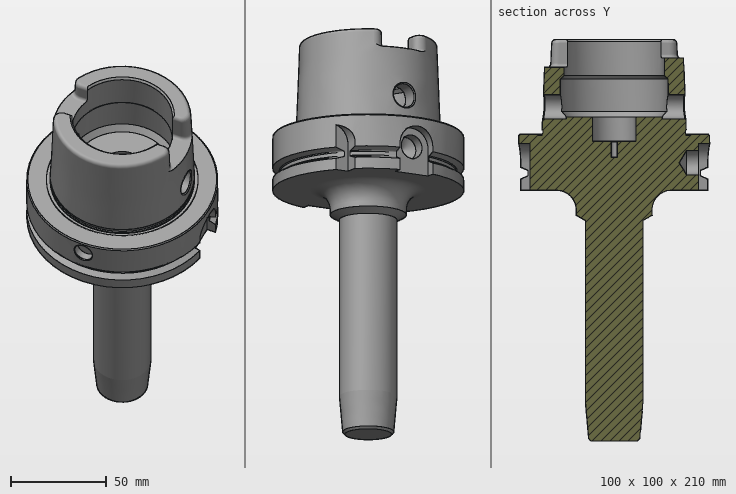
import cadquery as cq
import math

total_height = 210.0

flange_radius = 50.0
flange_top = 160.4
flange_bottom = 131.0
flange_edge = 0.6

groove_floor_radius = 46.2
groove_center = 140.0
groove_mouth = 6.0
groove_floor_width = 2.7
groove_floor_fillet = 0.6

taper_base_radius = 37.8
taper_top_radius = 35.9
rim_fillet = 2.0

relief_depth = 0.5
relief_height = 2.5
relief_slope = 0.6
face_groove_radius = 39.7
face_groove_depth = 0.6

neck_radius = 20.0
neck_fillet = 10.0
neck_bottom = 118.0
shank_radius = 15.1
shank_top = 115.2
nose_height = 20.2
nose_radius = 13.5
nose_chamfer = 1.3

mouth_radius = 26.2
mouth_depth = 18.9
mouth_chamfer = 1.0
undercut_radius = 28.1
bore_floor = 169.4
bore_floor_radius = 25.2
socket_radius = 11.3
socket_depth = 12.5
coolant_radius = 1.5
coolant_chamfer = 0.6
coolant_depth = 8.5

slot_width = 19.5
near_slot_depth = 9.7
far_slot_depth = 14.5
slot_floor_fillet = 1.7
horn_fillet = 4.2

cross_hole_radius = 6.3
cross_hole_chamfer = 0.6
cross_hole_z = 174.6

notch_width = 20.0
notch_arch_z = 145.5
notch_floor_x = 44.0
corner_notch_floor_x = 31.7
corner_notch_y = 41.4

drill_radius = 6.3
drill_depth = 6.3
drill_tip_angle = 118.0

pocket_radius = 5.0
pocket_z = 153.2
pocket_depth = 4.6
pocket_chamfer = 0.52
center_mark_radius = 0.25
center_mark_depth = 0.5


def make_body():
    """Solid of revolution with all outer steps."""
    half_mouth = groove_mouth / 2
    half_floor = groove_floor_width / 2
    relief_bottom = flange_top
    relief_top = flange_top + relief_height
    relief_radius = taper_base_radius - relief_depth
    arc_shift = neck_fillet * (1 - math.sqrt(0.5))
    profile = (
        cq.Workplane("XZ")
        .moveTo(0, 0)
        .lineTo(nose_radius - nose_chamfer, 0)
        .lineTo(nose_radius, nose_chamfer)
        .lineTo(shank_radius, nose_height)
        .lineTo(shank_radius, shank_top)
        .lineTo(neck_radius, neck_bottom)
        .lineTo(neck_radius, flange_bottom - neck_fillet)
        .threePointArc(
            (neck_radius + arc_shift, flange_bottom - arc_shift),
            (neck_radius + neck_fillet, flange_bottom),
        )
        .lineTo(flange_radius, flange_bottom)
        .lineTo(flange_radius, groove_center - half_mouth)
        .lineTo(groove_floor_radius, groove_center - half_floor)
        .lineTo(groove_floor_radius, groove_center + half_floor)
        .lineTo(flange_radius, groove_center + half_mouth)
        .lineTo(flange_radius, flange_top - flange_edge)
        .lineTo(flange_radius - flange_edge, flange_top)
        .lineTo(face_groove_radius, flange_top)
        .lineTo(face_groove_radius, flange_top - face_groove_depth)
        .lineTo(taper_base_radius, flange_top - face_groove_depth)
        .lineTo(taper_base_radius, relief_bottom)
        .lineTo(relief_radius, relief_bottom + relief_slope)
        .lineTo(relief_radius, relief_top - relief_slope)
        .lineTo(taper_base_radius, relief_top)
        .lineTo(taper_top_radius, total_height)
        .lineTo(0, total_height)
        .close()
    )
    body = profile.revolve(360, (0, 0, 0), (0, 1, 0))
    floor_circles = cq.selectors.BoxSelector(
        (-2, -2, groove_center - groove_floor_width), (2, 2, groove_center + groove_floor_width)
    )
    return body.edges(floor_circles).fillet(groove_floor_fillet)


def make_bore():
    """Undercut bore opening at the rim, with a socket and a blind coolant hole in its floor."""
    mouth_bottom = total_height - mouth_depth
    undercut_top = mouth_bottom - (undercut_radius - mouth_radius)
    undercut_bottom = bore_floor + (undercut_radius - bore_floor_radius)
    socket_floor = bore_floor - socket_depth
    coolant_floor = socket_floor - coolant_depth
    profile = (
        cq.Workplane("XZ")
        .moveTo(0, coolant_floor)
        .lineTo(coolant_radius, coolant_floor)
        .lineTo(coolant_radius, socket_floor - coolant_chamfer)
        .lineTo(coolant_radius + coolant_chamfer, socket_floor)
        .lineTo(socket_radius, socket_floor)
        .lineTo(socket_radius, bore_floor)
        .lineTo(bore_floor_radius, bore_floor)
        .lineTo(undercut_radius, undercut_bottom)
        .lineTo(undercut_radius, undercut_top)
        .lineTo(mouth_radius, mouth_bottom)
        .lineTo(mouth_radius, total_height - mouth_chamfer)
        .lineTo(mouth_radius + mouth_chamfer, total_height)
        .lineTo(0, total_height)
        .close()
    )
    return profile.revolve(360, (0, 0, 0), (0, 1, 0))


def cut_slot(body, side, depth):
    """Cut the drive slot on the +X (side 1) or -X (side -1) half and round its walls."""
    floor = total_height - depth
    slot = cq.Workplane("XY").box(flange_radius, slot_width, depth, centered=(False, True, False))
    body = body.cut(slot.translate((min(side, 0) * flange_radius, 0, floor)))

    half = slot_width / 2
    margin = 0.6
    inner_x = side * mouth_radius
    outer_x = side * flange_radius
    horn_corners = cq.selectors.BoxSelector(
        (inner_x, -half - margin, floor + margin), (outer_x, half + margin, total_height - margin)
    )
    body = body.edges(horn_corners).fillet(horn_fillet)

    floor_edges = cq.selectors.BoxSelector(
        (side * margin, -half - margin, floor - margin), (inner_x, half + margin, floor + margin)
    ) - cq.selectors.BoxSelector((0, -margin, 0), (outer_x, margin, total_height))
    return body.edges(floor_edges).fillet(slot_floor_fillet)


def make_notch(side, floor_x, center_y):
    """Arched notch, open at the flange bottom and cut along X from floor_x outwards."""
    half = notch_width / 2
    length = flange_radius - floor_x
    return (
        cq.Workplane("YZ", origin=(side * floor_x, center_y, 0))
        .moveTo(-half, flange_bottom)
        .lineTo(-half, notch_arch_z)
        .threePointArc((0, notch_arch_z + half), (half, notch_arch_z))
        .lineTo(half, flange_bottom)
        .close()
        .extrude(side * length)
    )


def make_drill():
    """Drilled hole with a conical end, running along +X from the -X notch floor."""
    tip_length = drill_radius / math.tan(math.radians(drill_tip_angle / 2))
    start = -flange_radius
    end = -notch_floor_x + drill_depth
    return (
        cq.Workplane("XY", origin=(0, 0, notch_arch_z))
        .moveTo(start, 0)
        .lineTo(start, drill_radius)
        .lineTo(end, drill_radius)
        .lineTo(end + tip_length, 0)
        .close()
        .revolve(360, (0, 0, 0), (1, 0, 0))
    )


def make_pocket():
    """Flat pocket with a chamfered mouth and a small centre mark, running along +Y."""
    mouth = -flange_radius
    floor = mouth + pocket_depth
    mark_end = floor + center_mark_depth
    return (
        cq.Workplane("XY", origin=(0, 0, pocket_z))
        .moveTo(0, mouth)
        .lineTo(pocket_radius + pocket_chamfer, mouth)
        .lineTo(pocket_radius, mouth + pocket_chamfer)
        .lineTo(pocket_radius, floor)
        .lineTo(center_mark_radius, floor)
        .lineTo(center_mark_radius, mark_end)
        .lineTo(0, mark_end)
        .close()
        .revolve(360, (0, 0, 0), (0, 1, 0))
    )


def make_cross_hole(side):
    """Hole along X through one wall of the taper, ending at the edge of the bore floor."""
    return (
        cq.Workplane("YZ", origin=(side * bore_floor_radius, 0, cross_hole_z))
        .circle(cross_hole_radius)
        .extrude(side * (flange_radius - bore_floor_radius))
    )


def chamfer_cross_hole(body, side):
    """Chamfer the mouth of one cross hole on the outside of the taper."""
    mouth = cq.selectors.BoxSelector(
        (side * undercut_radius, -cross_hole_radius, cross_hole_z - cross_hole_radius),
        (side * flange_radius, cross_hole_radius, cross_hole_z + cross_hole_radius),
    )
    return body.edges(mouth).chamfer(cross_hole_chamfer)


result = cut_slot(make_body(), -1, near_slot_depth)
result = cut_slot(result, 1, far_slot_depth)
result = result.faces(">Z").edges().fillet(rim_fillet)
result = result.cut(make_bore())

for side in (-1, 1):
    result = chamfer_cross_hole(result.cut(make_cross_hole(side)), side)
    result = result.cut(make_notch(side, notch_floor_x, 0))
result = result.cut(make_notch(-1, corner_notch_floor_x, corner_notch_y))
result = result.cut(make_drill()).cut(make_pocket())